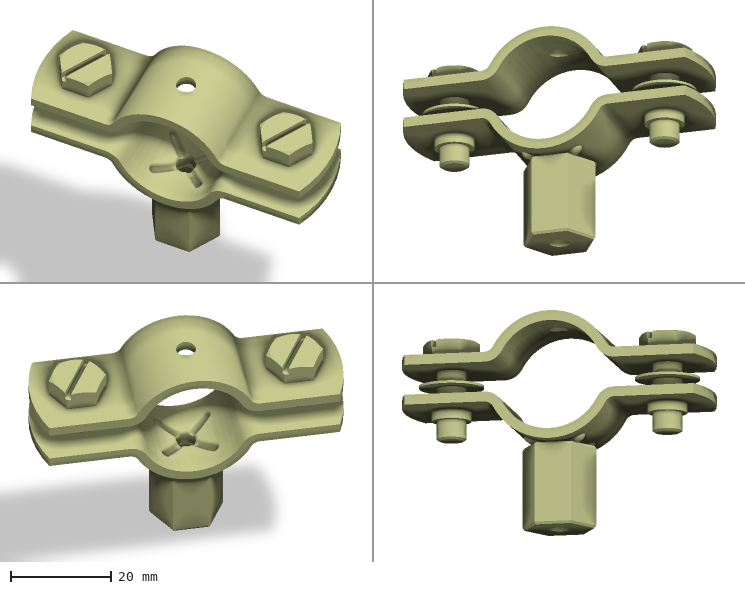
import cadquery as cq
import math

band_length = 63.1
band_width = 20.0
sheet = 2.0
ring_outer_radius = 13.0
ring_inner_radius = ring_outer_radius - sheet
flange_top = 5.05
flange_bottom = flange_top - sheet
bend_radius = 2.0
end_arc_radius = 25.0
centre_hole_diameter = 4.0

bend_centre_z = flange_top + bend_radius
bend_centre_x = math.sqrt((ring_outer_radius + bend_radius) ** 2 - bend_centre_z ** 2)
bend_angle = math.atan2(bend_centre_z, bend_centre_x)

bolt_x = 22.0
bolt_diameter = 6.0
bolt_tip_z = -10.9
bolt_tip_chamfer_height = 0.4
bolt_tip_chamfer_inset = 0.55
head_across_flats = 10.0
head_height = 4.0
head_chamfer_angle = 30.0
slot_width = 1.3
slot_depth = 1.6
slot_angle = 60.0

collar_diameter = 8.0
collar_height = 1.9
collar_fillet = 0.3

washer_diameter = 13.0
washer_thickness = 0.5

nut_across_flats = 13.0
nut_length = 16.7
nut_chamfer_height = 0.5
nut_chamfer_inset = 0.3
nut_countersink_diameter = 6.7
nut_countersink_angle = 90.0

cross_depth = 0.8
ridge_radius = 1.3
ridge_reach = 8.25
groove_radius = 0.8
groove_reach = 7.7
groove_edge_fillet = 0.6
cross_arm_angles = (45.0, 135.0)

edge_tolerance = 0.05

hexagon_ratio = 1 / math.cos(math.pi / 6)


def polar(centre_x, centre_z, radius, angle):
    """Point on a circle in the XZ plane, with the angle measured from +X towards +Z."""
    return (centre_x + radius * math.cos(angle), centre_z + radius * math.sin(angle))


def band_profile():
    """Half-band cross-section in the XZ plane, ring on top and a flange on each side."""
    half = band_length / 2
    wide_radius = bend_radius + sheet
    towards_ring = math.pi + bend_angle
    towards_flange = 1.5 * math.pi
    bend_middle = (towards_ring + towards_flange) / 2

    outer_ring_end = polar(0, 0, ring_outer_radius, bend_angle)
    inner_ring_end = polar(0, 0, ring_inner_radius, bend_angle)
    outer_bend_mid = polar(bend_centre_x, bend_centre_z, bend_radius, bend_middle)
    inner_bend_mid = polar(bend_centre_x, bend_centre_z, wide_radius, bend_middle)

    def mirrored(point):
        return (-point[0], point[1])

    return (
        cq.Workplane("XZ")
        .moveTo(-half, flange_top)
        .lineTo(-bend_centre_x, flange_top)
        .threePointArc(mirrored(outer_bend_mid), mirrored(outer_ring_end))
        .threePointArc((0, ring_outer_radius), outer_ring_end)
        .threePointArc(outer_bend_mid, (bend_centre_x, flange_top))
        .lineTo(half, flange_top)
        .lineTo(half, flange_bottom)
        .lineTo(bend_centre_x, flange_bottom)
        .threePointArc(inner_bend_mid, inner_ring_end)
        .threePointArc((0, ring_inner_radius), mirrored(inner_ring_end))
        .threePointArc(mirrored(inner_bend_mid), (-bend_centre_x, flange_bottom))
        .lineTo(-half, flange_bottom)
        .close()
    )


def band_outline():
    """Plan outline with a shallow arc at each end."""
    half = band_length / 2
    half_width = band_width / 2
    corner_x = half - end_arc_radius + math.sqrt(end_arc_radius ** 2 - half_width ** 2)
    return (
        cq.Workplane("XY")
        .workplane(offset=-ring_outer_radius)
        .moveTo(-corner_x, -half_width)
        .lineTo(corner_x, -half_width)
        .threePointArc((half, 0), (corner_x, half_width))
        .lineTo(-corner_x, half_width)
        .threePointArc((-half, 0), (-corner_x, -half_width))
        .close()
        .extrude(2 * ring_outer_radius)
    )


def vertical_cylinder(x, diameter, bottom, top):
    return (
        cq.Workplane("XY")
        .workplane(offset=bottom)
        .center(x, 0)
        .circle(diameter / 2)
        .extrude(top - bottom)
    )


def make_half_band():
    band = band_profile().extrude(band_width / 2, both=True).intersect(band_outline())
    band = band.cut(vertical_cylinder(0, centre_hole_diameter, 0, ring_outer_radius))
    for x in (-bolt_x, bolt_x):
        band = band.cut(vertical_cylinder(x, bolt_diameter, 0, flange_top))
    return band


def cross_arms(surface_radius, bar_radius, reach):
    """Crossed round bars with ball ends that follow a ring surface and reach cross_depth below it."""
    sweep_radius = 2 * surface_radius
    axis_radius = sweep_radius + cross_depth - bar_radius
    axis_z = sweep_radius - surface_radius
    half_angle = math.asin((reach - bar_radius) / axis_radius)

    def on_bar(angle):
        return (axis_radius * math.sin(angle), axis_z - axis_radius * math.cos(angle))

    start = on_bar(-half_angle)
    finish = on_bar(half_angle)
    path = cq.Workplane("XZ").moveTo(*start).threePointArc(on_bar(0), finish)
    start_plane = cq.Plane(
        origin=(start[0], 0, start[1]),
        xDir=(0, 1, 0),
        normal=(math.cos(half_angle), 0, -math.sin(half_angle)),
    )
    bar = cq.Workplane(start_plane).circle(bar_radius).sweep(path)
    for x, z in (start, finish):
        bar = bar.union(cq.Workplane("XY").sphere(bar_radius).translate((x, 0, z)))

    arms = cq.Workplane("XY")
    for angle in cross_arm_angles:
        arms = arms.add(bar.rotate((0, 0, 0), (0, 0, 1), angle))
    return arms.combine()


def make_collar(x):
    """Collar under the lower flange, flaring with a concave arc into the flange."""
    outer = collar_diameter / 2
    arc_centre = (outer + collar_fillet, -flange_top - collar_fillet)
    arc_middle = polar(*arc_centre, collar_fillet, 0.75 * math.pi)
    return (
        cq.Workplane("XZ")
        .moveTo(0, -flange_top)
        .lineTo(outer + collar_fillet, -flange_top)
        .threePointArc(arc_middle, (outer, -flange_top - collar_fillet))
        .lineTo(outer, -flange_top - collar_height)
        .lineTo(0, -flange_top - collar_height)
        .close()
        .revolve(360, (0, 0), (0, 1))
        .translate((x, 0, 0))
    )


def groove_mouth_edges(band):
    """Edges where the pressed grooves meet the inner face of the ring."""
    mouth_edges = []
    for edge in band.edges().vals():
        middle = edge.positionAt(0.5)
        on_inner_face = abs(math.hypot(middle.x, middle.z) - ring_inner_radius) < edge_tolerance
        if on_inner_face and math.hypot(middle.x, middle.y) < groove_reach + edge_tolerance:
            mouth_edges.append(edge)
    return band.newObject(mouth_edges)


def make_lower_band(nut):
    band = make_half_band().mirror("XY")

    ring_space = cq.Workplane("XZ").circle(ring_inner_radius + sheet / 2).extrude(band_width / 2, both=True)
    ridges = cross_arms(ring_outer_radius, ridge_radius, ridge_reach).cut(ring_space).cut(nut)

    band = band.cut(cross_arms(ring_inner_radius, groove_radius, groove_reach))
    band = groove_mouth_edges(band).fillet(groove_edge_fillet)
    band = band.union(ridges)
    hole_bottom = -ring_outer_radius - 2 * cross_depth
    band = band.cut(vertical_cylinder(0, centre_hole_diameter, hole_bottom, 0))

    collar_bottom = -flange_top - collar_height
    for x in (-bolt_x, bolt_x):
        band = band.union(make_collar(x))
        band = band.cut(vertical_cylinder(x, bolt_diameter, collar_bottom, 0))
    return band


def make_bolt(x):
    shank = (
        vertical_cylinder(x, bolt_diameter, bolt_tip_z, flange_top)
        .faces("<Z")
        .chamfer(bolt_tip_chamfer_height, bolt_tip_chamfer_inset)
    )
    head_top = flange_top + head_height
    across_corners = head_across_flats * hexagon_ratio
    head = (
        cq.Workplane("XY")
        .workplane(offset=flange_top)
        .center(x, 0)
        .polygon(6, across_corners)
        .extrude(head_height)
    )

    corner_inset = (across_corners - head_across_flats) / 2
    corner_drop = corner_inset * math.tan(math.radians(head_chamfer_angle))
    trimmed_blank = (
        vertical_cylinder(x, across_corners, flange_top, head_top)
        .faces(">Z")
        .edges()
        .chamfer(corner_drop, corner_inset)
    )
    slot = (
        cq.Workplane("XY")
        .box(2 * across_corners, slot_width, slot_depth, centered=(True, True, False))
        .rotate((0, 0, 0), (0, 0, 1), slot_angle)
        .translate((x, 0, head_top - slot_depth))
    )
    return head.intersect(trimmed_blank).cut(slot).union(shank)


def make_washer(x):
    half = washer_thickness / 2
    disc = vertical_cylinder(x, washer_diameter, -half, half)
    return disc.cut(vertical_cylinder(x, bolt_diameter, -half, half))


def make_nut():
    top = -ring_outer_radius
    bottom = top - nut_length
    body = (
        cq.Workplane("XY")
        .workplane(offset=bottom)
        .polygon(6, nut_across_flats * hexagon_ratio)
        .extrude(nut_length)
    )
    body = body.faces("<Z or >Z").edges().chamfer(nut_chamfer_height, nut_chamfer_inset)
    return (
        body.faces(">Z")
        .workplane()
        .cskHole(centre_hole_diameter, nut_countersink_diameter, nut_countersink_angle)
    )


upper_band = make_half_band()
nut = make_nut()
lower_band = make_lower_band(nut)
bolts = [make_bolt(x) for x in (-bolt_x, bolt_x)]
washers = [make_washer(x) for x in (-bolt_x, bolt_x)]

result = cq.Compound.makeCompound(
    [
        upper_band.val(),
        lower_band.val(),
        nut.val(),
        *[bolt.val() for bolt in bolts],
        *[washer.val() for washer in washers],
    ]
)